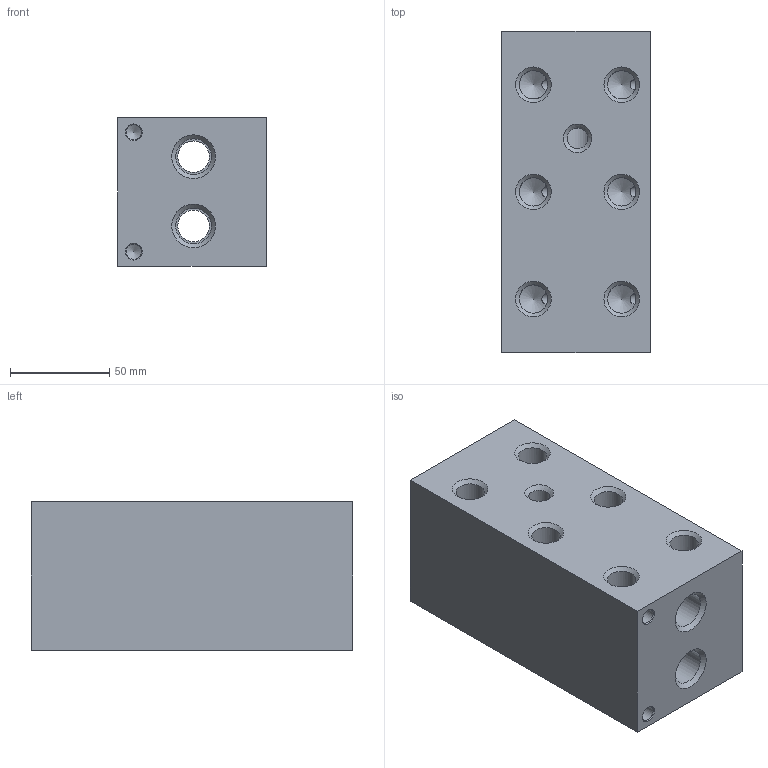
import cadquery as cq
import math

WIDTH = 74.63
LENGTH = 161.93
HEIGHT = 74.63

DRILL_POINT_ANGLE = 118.0

RIGHTWARD = cq.Vector(1, 0, 0)
BACKWARD = cq.Vector(0, 1, 0)
FORWARD = cq.Vector(0, -1, 0)
DOWNWARD = cq.Vector(0, 0, -1)

GALLERY_X = 38.1
GALLERY_SPACING = 34.93
LOWER_GALLERY_Z = 20.2
UPPER_GALLERY_Z = LOWER_GALLERY_Z + GALLERY_SPACING
GALLERY_DIAMETER = 15.88
MOUTH_DIAMETER = 17.9
MOUTH_DEPTH = 16.0
MOUTH_RIM_DIAMETER = 22.0

PORT_COLUMN_OFFSET = 22.23
PORT_ROW_PITCH = 53.98
PORT_DIAMETER = 14.3
PORT_RIM_DIAMETER = 17.9

CROSS_HOLE_DIAMETER = 6.1
CROSS_HOLE_RISE = 1.3
LEFT_CROSS_HOLE_Z = (LOWER_GALLERY_Z + UPPER_GALLERY_Z) / 2
RIGHT_CROSS_HOLE_Z = UPPER_GALLERY_Z

GAUGE_PORT_DIAMETER = 10.4
GAUGE_PORT_RIM_DIAMETER = 14.4
GAUGE_PORT_Y = LENGTH / 2 + PORT_ROW_PITCH / 2

MOUNTING_X = 7.94
MOUNTING_EDGE_MARGIN = 7.3
MOUNTING_DIAMETER = 7.6
MOUNTING_RIM_DIAMETER = 8.5
MOUNTING_DEPTH = 20.0


def drill(start, direction, diameter, depth):
    """Plain flat-ended cylinder."""
    return cq.Workplane(cq.Solid.makeCylinder(diameter / 2, depth, start, direction))


def drill_point(start, direction, diameter):
    """Cone left by the drill tip at the foot of a blind hole."""
    height = diameter / 2 / math.tan(math.radians(DRILL_POINT_ANGLE / 2))
    return cq.Workplane(cq.Solid.makeCone(diameter / 2, 0, height, start, direction))


def countersink(start, direction, rim_diameter, diameter):
    """45 degree chamfer at the mouth of a hole."""
    height = (rim_diameter - diameter) / 2
    return cq.Workplane(cq.Solid.makeCone(rim_diameter / 2, diameter / 2, height, start, direction))


def blind_hole(start, direction, diameter, rim_diameter, depth):
    """Countersunk hole with a drill point; depth is that of the straight wall."""
    hole = drill(start, direction, diameter, depth)
    hole = hole.union(drill_point(start + direction * depth, direction, diameter))
    return hole.union(countersink(start, direction, rim_diameter, diameter))


def gallery(z):
    """Through bore along Y with a countersunk mouth at both ends."""
    front = cq.Vector(GALLERY_X, 0, z)
    back = cq.Vector(GALLERY_X, LENGTH, z)
    bore = drill(front, BACKWARD, GALLERY_DIAMETER, LENGTH)
    for start, direction in ((front, BACKWARD), (back, FORWARD)):
        bore = bore.union(drill(start, direction, MOUTH_DIAMETER, MOUTH_DEPTH))
        bore = bore.union(countersink(start, direction, MOUTH_RIM_DIAMETER, MOUTH_DIAMETER))
    return bore


def valve_port(x, y, cross_hole_z):
    """Blind port in the top face with its cross hole out to the right side."""
    depth = HEIGHT - cross_hole_z + CROSS_HOLE_RISE
    port = blind_hole(cq.Vector(x, y, HEIGHT), DOWNWARD, PORT_DIAMETER, PORT_RIM_DIAMETER, depth)
    cross_start = cq.Vector(x, y, cross_hole_z)
    return port.union(drill(cross_start, RIGHTWARD, CROSS_HOLE_DIAMETER, WIDTH - x))


def gauge_port():
    """Countersunk hole from the top face down to the upper gallery axis."""
    start = cq.Vector(GALLERY_X, GAUGE_PORT_Y, HEIGHT)
    hole = drill(start, DOWNWARD, GAUGE_PORT_DIAMETER, HEIGHT - UPPER_GALLERY_Z)
    return hole.union(countersink(start, DOWNWARD, GAUGE_PORT_RIM_DIAMETER, GAUGE_PORT_DIAMETER))


def mounting_hole(z):
    """Blind hole in the front face."""
    start = cq.Vector(MOUNTING_X, 0, z)
    return blind_hole(start, BACKWARD, MOUNTING_DIAMETER, MOUNTING_RIM_DIAMETER, MOUNTING_DEPTH)


result = cq.Workplane("XY").box(WIDTH, LENGTH, HEIGHT, centered=False)

for gallery_z in (LOWER_GALLERY_Z, UPPER_GALLERY_Z):
    result = result.cut(gallery(gallery_z))

for row in (-1, 0, 1):
    port_y = LENGTH / 2 + row * PORT_ROW_PITCH
    result = result.cut(valve_port(GALLERY_X - PORT_COLUMN_OFFSET, port_y, LEFT_CROSS_HOLE_Z))
    result = result.cut(valve_port(GALLERY_X + PORT_COLUMN_OFFSET, port_y, RIGHT_CROSS_HOLE_Z))

result = result.cut(gauge_port())

for mounting_z in (MOUNTING_EDGE_MARGIN, HEIGHT - MOUNTING_EDGE_MARGIN):
    result = result.cut(mounting_hole(mounting_z))